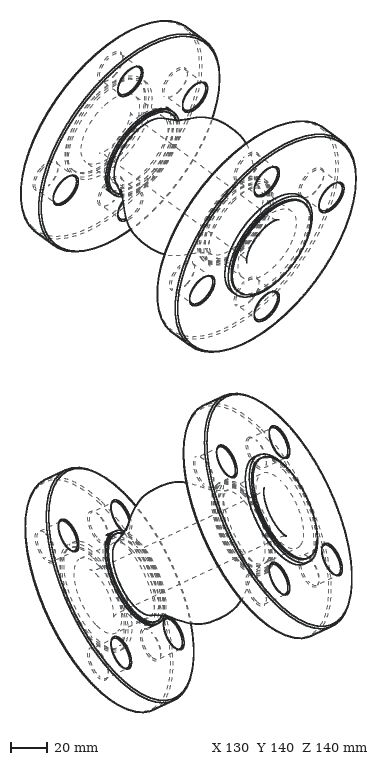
import cadquery as cq

length = 130.0
flange_radius = 70.0
half_length = length / 2

flange_thickness = 16.0
flange_edge_chamfer = 1.0
neck_radius = 28.0
neck_fillet = 5.0
bolt_circle_radius = 50.0
bolt_hole_diameter = 18.0
bolt_hole_chamfer = 0.7
bolt_count = 4

lip_radius = 32.5
lip_thickness = 3.8
lip_step_length = 1.1
lip_step_depth = 2.1
tube_radius = 22.7
dome_radius = 39.9
dome_half_length = 35.1
dome_waist = (22.7, 28.8)
dome_shoulder = (8.7, 38.8)
dome_end_slope = 0.35
collar_thickness = 1.3
groove_outer_radius = 26.6
spigot_radius = 26.9
spigot_length = 2.5
bore_radius = 13.3
bore_mouth_radius = 23.7

outer_face = half_length - lip_thickness
inner_face = outer_face - flange_thickness
neck_end = dome_half_length + collar_thickness
spigot_end = neck_end + spigot_length


def revolve_about_x(profile):
    """Turn a closed profile in the XY plane fully around the X axis."""
    return profile.close().revolve(360, (0, 0, 0), (1, 0, 0))


def make_flange(side):
    """Bolted flange with a filleted, recessed neck; side is -1 or +1 along X."""
    disc = (
        cq.Workplane("YZ", origin=(inner_face, 0, 0))
        .circle(flange_radius)
        .extrude(flange_thickness)
        .faces("<X or >X")
        .edges()
        .chamfer(flange_edge_chamfer)
    )
    neck = (
        cq.Workplane("XY")
        .moveTo(neck_end, 0)
        .lineTo(neck_end, neck_radius)
        .lineTo(inner_face - neck_fillet, neck_radius)
        .radiusArc((inner_face, neck_radius + neck_fillet), -neck_fillet)
        .lineTo(outer_face, neck_radius + neck_fillet)
        .lineTo(outer_face, 0)
    )
    flange = disc.union(revolve_about_x(neck))

    tube_hole = (
        cq.Workplane("YZ", origin=(neck_end, 0, 0))
        .circle(tube_radius)
        .extrude(outer_face - neck_end)
    )
    spigot_recess = (
        cq.Workplane("YZ", origin=(neck_end, 0, 0))
        .circle(spigot_radius)
        .extrude(spigot_length)
    )
    flange = flange.cut(tube_hole).cut(spigot_recess)
    for bolt_hole in make_bolt_holes():
        flange = flange.cut(bolt_hole)
    return flange if side > 0 else flange.mirror("YZ")


def make_bolt_holes():
    """Cutters for the bolt holes, widened by a chamfer at both faces."""
    radius = bolt_hole_diameter / 2
    wide_radius = radius + bolt_hole_chamfer
    cutter = revolve_about_x(
        cq.Workplane("XY")
        .moveTo(inner_face, 0)
        .lineTo(inner_face, wide_radius)
        .lineTo(inner_face + bolt_hole_chamfer, radius)
        .lineTo(outer_face - bolt_hole_chamfer, radius)
        .lineTo(outer_face, wide_radius)
        .lineTo(outer_face, 0)
    ).translate((0, bolt_circle_radius, 0))
    return [
        cutter.rotate((0, 0, 0), (1, 0, 0), index * 360 / bolt_count)
        for index in range(bolt_count)
    ]


def make_bellows():
    """Domed tube with a flared bore, a stepped lip outside each flange and a grooved collar
    with a spigot that sits in each flange neck.
    """
    mouth_flare = bore_mouth_radius - bore_radius
    flare_start = half_length - mouth_flare
    groove_radius = (groove_outer_radius - tube_radius) / 2
    groove_middle_radius = tube_radius + groove_radius
    waist_x, waist_radius = dome_waist
    shoulder_x, shoulder_radius = dome_shoulder
    dome_points = [
        (-waist_x, waist_radius),
        (-shoulder_x, shoulder_radius),
        (0, dome_radius),
        (shoulder_x, shoulder_radius),
        (waist_x, waist_radius),
        (dome_half_length, tube_radius),
    ]
    profile = (
        cq.Workplane("XY")
        .moveTo(-flare_start, bore_radius)
        .radiusArc((-half_length, bore_mouth_radius), mouth_flare)
        .lineTo(-half_length, lip_radius - lip_step_depth)
        .lineTo(-half_length + lip_step_length, lip_radius - lip_step_depth)
        .lineTo(-half_length + lip_step_length, lip_radius)
        .lineTo(-outer_face, lip_radius)
        .lineTo(-outer_face, tube_radius)
        .lineTo(-spigot_end, tube_radius)
        .lineTo(-spigot_end, spigot_radius)
        .lineTo(-neck_end, spigot_radius)
        .lineTo(-neck_end, neck_radius)
        .lineTo(-dome_half_length, neck_radius)
        .lineTo(-dome_half_length, groove_outer_radius)
        .threePointArc(
            (-dome_half_length - groove_radius, groove_middle_radius),
            (-dome_half_length, tube_radius),
        )
        .spline(
            dome_points,
            tangents=[(1, dome_end_slope), (1, -dome_end_slope)],
            includeCurrent=True,
        )
        .threePointArc(
            (dome_half_length + groove_radius, groove_middle_radius),
            (dome_half_length, groove_outer_radius),
        )
        .lineTo(dome_half_length, neck_radius)
        .lineTo(neck_end, neck_radius)
        .lineTo(neck_end, spigot_radius)
        .lineTo(spigot_end, spigot_radius)
        .lineTo(spigot_end, tube_radius)
        .lineTo(outer_face, tube_radius)
        .lineTo(outer_face, lip_radius)
        .lineTo(half_length - lip_step_length, lip_radius)
        .lineTo(half_length - lip_step_length, lip_radius - lip_step_depth)
        .lineTo(half_length, lip_radius - lip_step_depth)
        .lineTo(half_length, bore_mouth_radius)
        .radiusArc((flare_start, bore_radius), mouth_flare)
    )
    return revolve_about_x(profile)


bellows = make_bellows()
flanges = [make_flange(side) for side in (-1, 1)]

result = cq.Compound.makeCompound([bellows.val(), *[flange.val() for flange in flanges]])